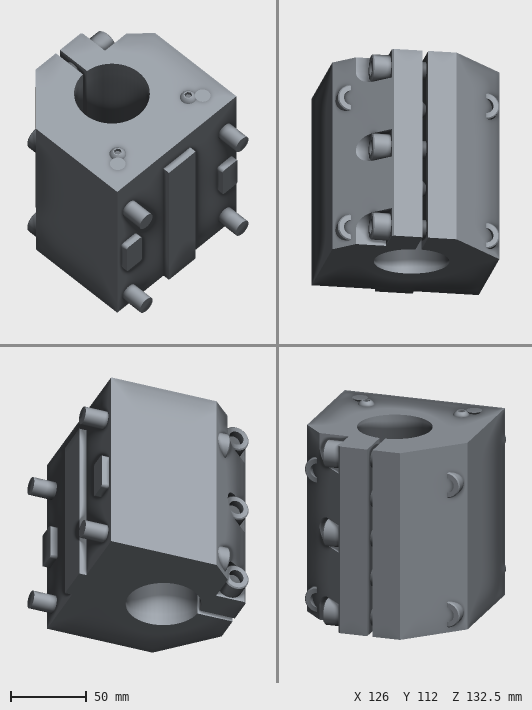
import cadquery as cq

block_x = 110.0
block_y = 112.0
block_z = 130.0
bore_dia = 50.0
bore_to_split_face = 50.0
corner_chamfer = 35.0
slit_width = 3.8

left_x = -bore_to_split_face
right_x = left_x + block_x
mid_z = block_z / 2

shank_dia = 12.0
head_dia = 18.0
head_height = 12.0
head_edge_chamfer = 0.8
socket_dia = 10.1
socket_depth = 6.0

clamp_x = left_x + 12.0
clamp_pitch = 55.0
clamp_seat_y = 22.3
clamp_reach = 39.8
pocket_dia = 19.1

spreader_dia = 12.0
spreader_offset_z = 27.5
spreader_tip = 2.3

key_thickness = 5.0
key_width = 25.0
key_height = 115.0
key_mid_z = key_height / 2

mount_y = 45.0
mount_z = 45.0
mount_head_x = left_x + 24.2
mount_overhang = 16.0

pad_width = 15.0
pad_height = 25.0
pad_corner = 2.5
pad_straight = 1.6
pad_flat_inset = 0.5

button_x = 38.0
button_y = 33.1
button_height = 2.5
button_dome_radius = 6.2
button_dome_drop = 2.9
button_socket_corners = 5.2
button_socket_depth = 2.4
flush_x = 44.7
flush_y = 39.9
flush_radius = 5.2
flush_height = 1.6
flush_sunk = 1.3


def cylinder(start, direction, diameter, length):
    solid = cq.Solid.makeCylinder(diameter / 2, length, cq.Vector(*start), cq.Vector(*direction))
    return cq.Workplane(solid)


def cone(start, direction, start_radius, end_radius, length):
    solid = cq.Solid.makeCone(start_radius, end_radius, length, cq.Vector(*start), cq.Vector(*direction))
    return cq.Workplane(solid)


def socket_screw(head_face, direction, reach):
    """Screw from the centre of its head face, reaching the given length along its direction."""
    plane = cq.Plane(head_face, normal=direction)
    head = cq.Workplane(plane).circle(head_dia / 2).extrude(head_height)
    head = head.faces(cq.NearestToPointSelector(head_face)).chamfer(head_edge_chamfer)
    socket = cylinder(head_face, direction, socket_dia, socket_depth)
    shank_plane = cq.Workplane(plane).workplane(offset=socket_depth)
    shank = shank_plane.circle(shank_dia / 2).extrude(reach - socket_depth)
    return head.cut(socket).union(shank)


def clamp_block():
    block = (
        cq.Workplane("XY")
        .box(block_x, block_y, block_z, centered=(False, True, False))
        .translate((left_x, 0, 0))
        .edges("|Z and <X")
        .chamfer(corner_chamfer)
    )
    bore = cylinder((0, 0, 0), (0, 0, 1), bore_dia, block_z).rotate((0, 0, 0), (0, 0, 1), 180)
    slit = cq.Workplane("XY").box(bore_to_split_face, slit_width, block_z, centered=(False, True, False))
    return block.cut(bore).cut(slit.translate((left_x, 0, 0)))


def clamp_pocket(z, open_direction):
    """Pocket for a clamping screw head, open towards -X.

    The end pockets also open through the nearest end face of the block.
    """
    depth = block_y / 2 - clamp_seat_y
    pocket = cylinder((clamp_x, clamp_seat_y, z), (0, 1, 0), pocket_dia, depth)
    side_opening = cq.Workplane("XY").box(pocket_dia, depth, pocket_dia, centered=(True, False, True))
    pocket = pocket.union(side_opening.translate((clamp_x - pocket_dia / 2, clamp_seat_y, z)))
    if open_direction:
        length = pocket_dia * 1.5
        end_opening = cq.Workplane("XY").box(length, depth, pocket_dia, centered=(True, False, True))
        pocket = pocket.union(
            end_opening.translate((
                clamp_x + pocket_dia / 2 - length / 2, clamp_seat_y, z + open_direction * pocket_dia / 2,
            ))
        )
    return pocket


def spreader_screw(z):
    """Threaded into the +Y jaw, with its tapered tip bearing on the -Y jaw."""
    tip_start_y = -slit_width / 2 + spreader_tip
    body = cylinder((clamp_x, clamp_seat_y / 2, z), (0, -1, 0), spreader_dia, clamp_seat_y / 2 - tip_start_y)
    tip = cone(
        (clamp_x, tip_start_y, z), (0, -1, 0), spreader_dia / 2, spreader_dia / 2 - spreader_tip, spreader_tip
    )
    return body.union(tip)


def pad(y):
    """Rounded pad whose two long sides lean inwards above a straight foot."""
    blank = (
        cq.Workplane("YZ")
        .rect(pad_width, pad_height)
        .extrude(key_thickness)
        .edges("|X")
        .fillet(pad_corner)
    )
    foot = pad_width / 2
    crest = foot - pad_flat_inset
    outline = (
        cq.Workplane("XY")
        .polyline([
            (0, -foot), (pad_straight, -foot), (key_thickness, -crest),
            (key_thickness, crest), (pad_straight, foot), (0, foot),
        ])
        .close()
        .extrude(pad_height / 2, both=True)
    )
    return blank.intersect(outline).translate((right_x, y, key_mid_z))


def button_screw(y):
    """Domed head with a flat crown and a hexagon socket; the dome is part of a sphere centred below."""
    dome = cq.Workplane("XY").sphere(button_dome_radius).translate((0, 0, -button_dome_drop))
    head = dome.intersect(cylinder((0, 0, 0), (0, 0, 1), 2 * button_dome_radius, button_height))
    socket = (
        cq.Workplane("XY", origin=(0, 0, button_height))
        .polygon(6, button_socket_corners)
        .extrude(-button_socket_depth)
        .rotate((0, 0, 0), (0, 0, 1), 30)
    )
    return head.cut(socket).translate((button_x, y, block_z))


def flush_screw(y):
    height = flush_height + flush_sunk
    base = (flush_x, y, block_z - flush_sunk)
    return cone(base, (0, 0, 1), flush_radius - height, flush_radius, height)


result = clamp_block()

for side in (-1, 0, 1):
    z = mid_z + side * clamp_pitch
    head_face = (clamp_x, clamp_seat_y + head_height, z)
    result = result.cut(clamp_pocket(z, side))
    result = result.union(socket_screw(head_face, (0, -1, 0), head_height + clamp_reach))

for side in (-1, 1):
    result = result.union(spreader_screw(mid_z + side * spreader_offset_z))

for y in (-mount_y, mount_y):
    for z in (key_mid_z - mount_z, key_mid_z + mount_z):
        reach = right_x + mount_overhang - mount_head_x
        result = result.union(socket_screw((mount_head_x, y, z), (1, 0, 0), reach))
    result = result.union(pad(y))

key = cq.Workplane("XY").box(
    key_thickness, key_width, key_height, centered=(False, True, False)
)
result = result.union(key.translate((right_x, 0, 0)))

for side in (-1, 1):
    result = result.union(button_screw(side * button_y)).union(flush_screw(side * flush_y))